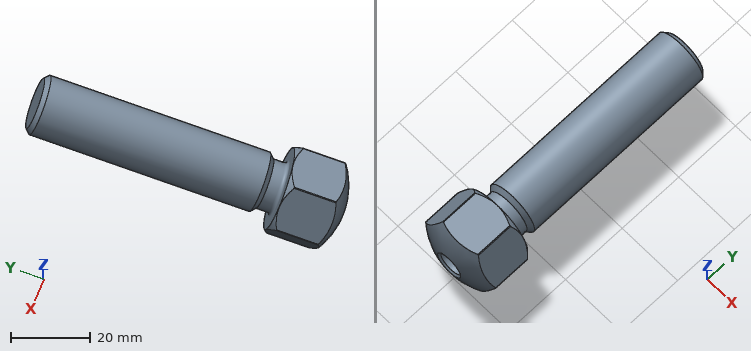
import cadquery as cq
import math

length = 83.0

across_flats = 22.0
corner_radius = 12.6
head_length = 17.0
back_face_radius = 10.95
dome_radius = 20.0

neck_radius = 6.6
neck_fillet = 1.0
neck_end = 21.0
shank_radius = 8.0
end_chamfer = 1.25

hole_radius = 3.6
hole_mouth_radius = 4.15
hole_depth = 12.45
drill_point_angle = 118.0


def dome_drop(radius):
    """Axial distance from the crown of the dome down to a given radius."""
    return dome_radius - math.sqrt(dome_radius**2 - radius**2)


def spin(profile):
    """Revolve a closed (radius, Y) profile around the Y axis."""
    return profile.close().revolve(360, (0, 0, 0), (0, 1, 0))


dome_crown = -dome_drop(hole_mouth_radius)


def make_head():
    back_chamfer = corner_radius - back_face_radius
    dome_middle_radius = corner_radius / 2
    envelope = spin(
        cq.Workplane("XY")
        .moveTo(0, dome_crown)
        .threePointArc(
            (dome_middle_radius, dome_crown + dome_drop(dome_middle_radius)),
            (corner_radius, dome_crown + dome_drop(corner_radius)),
        )
        .lineTo(corner_radius, head_length - back_chamfer)
        .lineTo(back_face_radius, head_length)
        .lineTo(0, head_length)
    )
    sharp_corner_diameter = across_flats / math.cos(math.pi / 6)
    hexagon = (
        cq.Workplane("XZ", origin=(0, head_length, 0))
        .polygon(6, sharp_corner_diameter)
        .extrude(head_length - dome_crown)
    )
    return hexagon.intersect(envelope)


def make_shank():
    shoulder_chamfer = shank_radius - neck_radius
    fillet_mid_offset = neck_fillet * (1 - math.sqrt(0.5))
    return spin(
        cq.Workplane("XY")
        .moveTo(0, head_length)
        .lineTo(neck_radius + neck_fillet, head_length)
        .threePointArc(
            (neck_radius + fillet_mid_offset, head_length + fillet_mid_offset),
            (neck_radius, head_length + neck_fillet),
        )
        .lineTo(neck_radius, neck_end)
        .lineTo(shank_radius, neck_end + shoulder_chamfer)
        .lineTo(shank_radius, length - end_chamfer)
        .lineTo(shank_radius - end_chamfer, length)
        .lineTo(0, length)
    )


def make_hole():
    countersink_depth = hole_mouth_radius - hole_radius
    point_depth = hole_radius / math.tan(math.radians(drill_point_angle / 2))
    return spin(
        cq.Workplane("XY")
        .moveTo(0, dome_crown)
        .lineTo(hole_mouth_radius, dome_crown)
        .lineTo(hole_mouth_radius, 0)
        .lineTo(hole_radius, countersink_depth)
        .lineTo(hole_radius, hole_depth)
        .lineTo(0, hole_depth + point_depth)
    )


result = make_head().union(make_shank()).cut(make_hole())